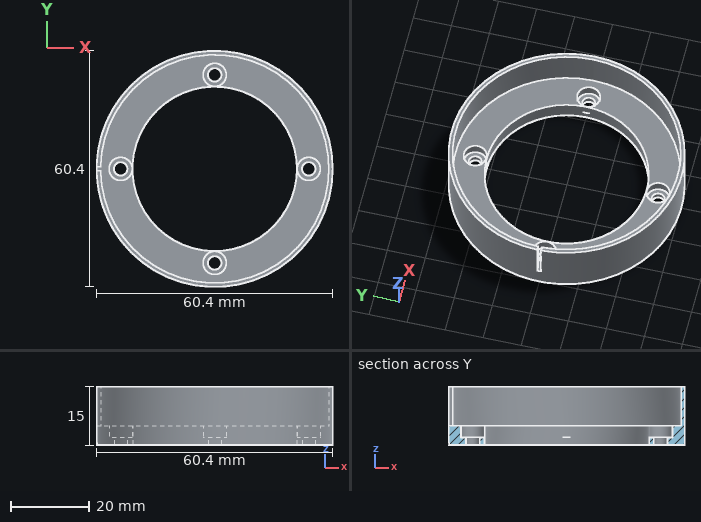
import cadquery as cq

outer_diameter = 60.4
height = 15.0
wall_thickness = 1.0
floor_thickness = 5.0
bore_diameter = 42.0

screw_count = 4
screw_circle_radius = 24.05
screw_hole_diameter = 3.4
counterbore_diameter = 5.9
counterbore_depth = 3.0

slit_width = 1.0

inner_diameter = outer_diameter - 2 * wall_thickness
wall_height = height - floor_thickness


def make_cup():
    """Round cup with a thick floor and a large central bore."""
    body = cq.Workplane("XY").circle(outer_diameter / 2).extrude(height)
    recess = (
        cq.Workplane("XY", origin=(0, 0, floor_thickness))
        .circle(inner_diameter / 2)
        .extrude(wall_height)
    )
    bore = cq.Workplane("XY").circle(bore_diameter / 2).extrude(height)
    return body.cut(recess).cut(bore)


def cut_screw_holes(body):
    """Counterbored holes, evenly spaced and sunk from the floor's upper face."""
    return (
        body.copyWorkplane(cq.Workplane("XY", origin=(0, 0, floor_thickness)))
        .polarArray(screw_circle_radius, 0, 360, screw_count)
        .cboreHole(screw_hole_diameter, counterbore_diameter, counterbore_depth, floor_thickness)
    )


def cut_slit(body):
    """Narrow slit that opens the wall down to floor level."""
    slit_length = 2 * wall_thickness
    slit = cq.Workplane("XY").box(slit_length, slit_width, wall_height, centered=(False, True, False))
    return body.cut(slit.translate((-outer_diameter / 2, 0, floor_thickness)))


result = cut_slit(cut_screw_holes(make_cup()))